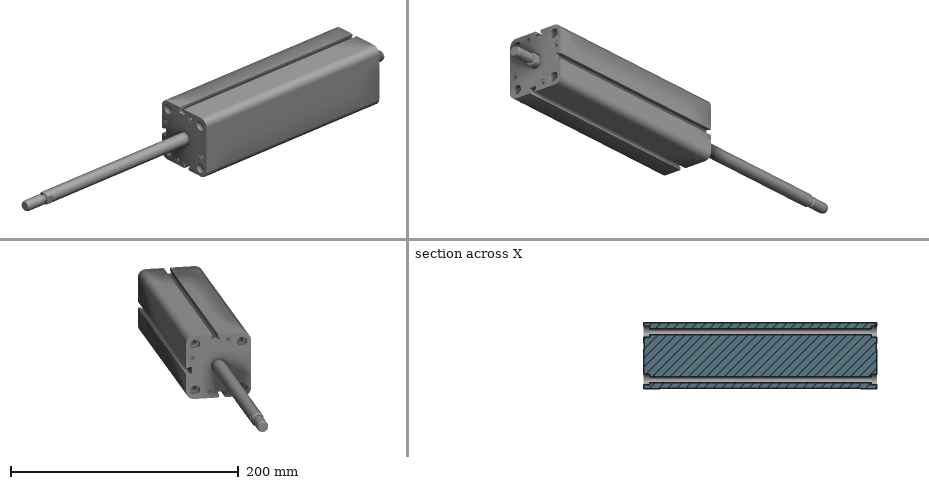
import cadquery as cq
import math


overall_length = 422.5
cap_thickness = 14.0
thread_length = 22.0
rear_shoulder_length = 6.5
rear_reach = rear_shoulder_length + thread_length
body_length = 205.0
front_reach = overall_length - body_length - rear_reach

cap_width = 58.1
tube_width = 58.0
corner_radius = 7.0

slot_offset = 3.1
slot_neck_width = 5.4
slot_foot_width = 7.5
slot_depth = 5.3
slot_lip = 2.6
slot_turns = (0, 90, 180)

mount_spacing = 42.0
mount_bore_diameter = 4.92
mount_counterbore_diameter = 9.0
mount_counterbore_depth = 5.0

screw_edge_distance = 23.5
screw_side_distance = 8.4
screw_recess_diameter = 7.5
screw_recess_depth = 0.5
screw_socket_flats = 3.5
screw_socket_depth = 2.0

rod_diameter = 12.0
rod_recess_diameter = 13.6
rod_recess_depth = 2.0
rod_chamfer = 0.9
flat_width = 10.0
flat_length = 5.5
thread_diameter = 10.0
thread_minor_diameter = 8.57
tip_chamfer_length = 2.8
undercut_diameter = 7.5
undercut_length = 2.0
undercut_runout = (thread_diameter - undercut_diameter) / 2


def along_y(profile, start, length):
    """Extrude a sketch drawn in X and Z from Y = start towards +Y."""
    return profile.extrude(-length).translate((0, start, 0))


def slotted_bar(width, start, length):
    bar = along_y(cq.Workplane("XZ").rect(width, width), start, length)
    bar = bar.edges("|Y").fillet(corner_radius)
    for angle in slot_turns:
        bar = bar.cut(turned(sensor_slot(width / 2, start, length), -angle))
    return bar


def cylinder(diameter, start, length, x=0, z=0):
    return along_y(cq.Workplane("XZ").center(x, z).circle(diameter / 2), start, length)


def at_both_ends(feature):
    """Add the mirrored copy of a front cap feature at the rear cap."""
    middle = body_length / 2
    return feature.union(feature.mirror("XZ", (0, middle, 0)))


def body_shell():
    tube_length = body_length - 2 * cap_thickness
    cap = slotted_bar(cap_width, 0, cap_thickness)
    tube = slotted_bar(tube_width, cap_thickness, tube_length)
    return at_both_ends(cap).union(tube)


def sensor_slot(top, start, length):
    """T slot sunk into the side at Z = top: a narrow neck over a wider foot."""
    floor = top - slot_depth
    foot_height = slot_depth - slot_lip
    neck_sketch = cq.Workplane("XZ").center(-slot_offset, floor + slot_depth / 2)
    neck = along_y(neck_sketch.rect(slot_neck_width, slot_depth), start, length)
    foot_sketch = cq.Workplane("XZ").center(-slot_offset, floor + foot_height / 2)
    foot = along_y(foot_sketch.rect(slot_foot_width, foot_height), start, length)
    return neck.union(foot)


def mounting_hole(x, z):
    bore = cylinder(mount_bore_diameter, 0, body_length, x, z)
    counterbore = cylinder(mount_counterbore_diameter, 0, mount_counterbore_depth, x, z)
    return bore.union(at_both_ends(counterbore))


def cap_screw_recess():
    """Round recess with a hexagon socket in its floor, near the top rim of the cap."""
    x = screw_side_distance
    z = screw_edge_distance
    recess = cylinder(screw_recess_diameter, 0, screw_recess_depth, x, z)
    across_corners = screw_socket_flats / math.cos(math.pi / 6)
    center = cq.Workplane("XZ").center(x, z).transformed(rotate=(0, 0, 90))
    hexagon = center.polygon(6, across_corners)
    socket = along_y(hexagon, screw_recess_depth, screw_socket_depth)
    return at_both_ends(recess.union(socket))


def turned(feature, angle):
    return feature.rotate((0, 0, 0), (0, 1, 0), angle)


def cylinder_body():
    body = body_shell()
    half = mount_spacing / 2
    for x in (-half, half):
        for z in (-half, half):
            body = body.cut(mounting_hole(x, z))
    for quarter in range(4):
        body = body.cut(turned(cap_screw_recess(), quarter * 90))
    return body.cut(at_both_ends(cylinder(rod_recess_diameter, 0, rod_recess_depth)))


def rod_end(rod_start, reach):
    """Rod from Y = rod_start to its threaded tip, with two wrench flats behind the shoulder."""
    rod_radius = rod_diameter / 2
    thread_radius = thread_diameter / 2
    undercut_radius = undercut_diameter / 2
    shoulder = rod_start + reach
    tip = shoulder + thread_length
    turned_rod = (
        cq.Workplane("XY")
        .moveTo(0, rod_start)
        .lineTo(rod_radius, rod_start)
        .lineTo(rod_radius, shoulder - rod_chamfer)
        .lineTo(rod_radius - rod_chamfer, shoulder)
        .lineTo(undercut_radius, shoulder)
        .lineTo(undercut_radius, shoulder + undercut_length)
        .lineTo(thread_radius, shoulder + undercut_length + undercut_runout)
        .lineTo(thread_radius, tip - tip_chamfer_length)
        .lineTo(thread_minor_diameter / 2, tip)
        .lineTo(0, tip)
        .close()
        .revolve(360, (0, 0, 0), (0, 1, 0))
    )
    for side in (-1, 1):
        flat_x = side * (flat_width + rod_diameter) / 2
        flat = cq.Workplane("XY").box(rod_diameter, flat_length, rod_diameter)
        flat = flat.translate((flat_x, shoulder - flat_length / 2, 0))
        turned_rod = turned_rod.cut(flat)
    return turned_rod


rod_middle = body_length / 2
rear_rod = rod_end(rod_middle, rod_middle + rear_shoulder_length)
front_rod = rod_end(-rod_middle, rod_middle + front_reach - thread_length).mirror("XZ")
result = cylinder_body().union(rear_rod).union(front_rod)